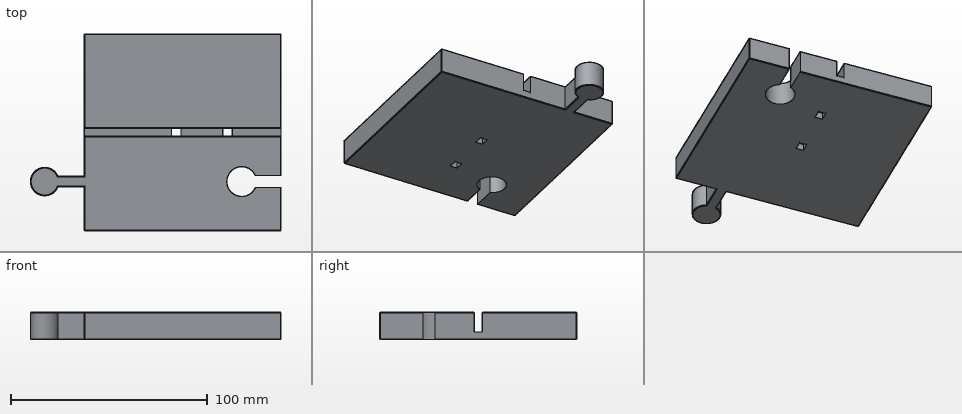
import cadquery as cq

total_length = 127.3
plate_size = 100.0
thickness = 14.0
edge_break = 0.4

knob_radius = 7.3
stem_width = 5.5
socket_radius = 7.5
slot_width = 6.0
connector_reach = total_length - plate_size - knob_radius
connector_y = -plate_size / 4

groove_width = 4.0
groove_depth = 10.0
window_length = 4.7
window_width = groove_width
window_centers = (-3.2, 22.8)

half_plate = plate_size / 2


def keyhole(edge_x, radius, neck_width):
    """Disc and straight neck reaching from the disc centre to edge_x."""
    center_x = edge_x - connector_reach
    disc = cq.Workplane("XY").center(center_x, connector_y).circle(radius).extrude(thickness)
    neck = (
        cq.Workplane("XY")
        .center(center_x + connector_reach / 2, connector_y)
        .rect(connector_reach, neck_width)
        .extrude(thickness)
    )
    return disc.union(neck)


plate = cq.Workplane("XY").rect(plate_size, plate_size).extrude(thickness)
plate = plate.edges("|Z").chamfer(edge_break)
body = plate.union(keyhole(-half_plate, knob_radius, stem_width))
body = body.faces("<Z or >Z").edges().chamfer(edge_break)

body = body.cut(keyhole(half_plate, socket_radius, slot_width))

groove = (
    cq.Workplane("XY")
    .workplane(offset=thickness - groove_depth)
    .rect(plate_size, groove_width)
    .extrude(groove_depth)
)
groove_mouth = (
    cq.Workplane("XY")
    .workplane(offset=thickness - edge_break)
    .rect(plate_size, groove_width)
    .workplane(offset=edge_break)
    .rect(plate_size, groove_width + 2 * edge_break)
    .loft(ruled=True)
)
body = body.cut(groove).cut(groove_mouth)

windows = (
    cq.Workplane("XY")
    .pushPoints([(x, 0) for x in window_centers])
    .rect(window_length, window_width)
    .extrude(thickness)
)
result = body.cut(windows)